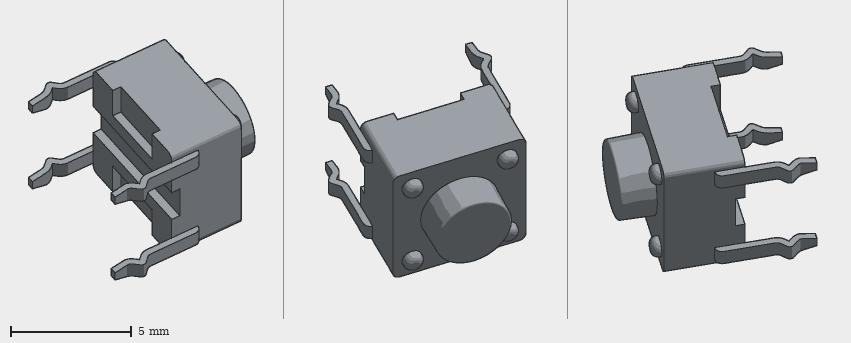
import cadquery as cq
import math


body_width = 6.0
body_depth = 3.45
corner_radius = 0.32
recess_depth = 0.4
channel_height = 1.58
pocket_width = 3.0
pocket_height = 1.5

button_base_radius = 1.75
button_top_radius = 1.71
button_height = 1.55
button_round = 0.1

peg_radius = 0.45
peg_height = 0.4
peg_round = 0.3
peg_offset = 2.14

leg_thickness = 0.3
leg_width = 0.72
leg_tip_width = 0.42
leg_offset = 2.25
leg_start = 1.3
leg_length = 3.0
taper_start = 2.3
kink_y = -1.8
kink_offset = 0.32
upper_angle = math.radians(45)
lower_angle = math.radians(42)
shoulder_radius = 0.32
bend_radius = 0.32
kink_outer_radius = 0.2

half_body = body_width / 2


def make_housing():
    """Rounded block with a cross channel and two edge pockets in its -Y face."""
    housing = (
        cq.Workplane("XY")
        .box(body_width, body_depth, body_width)
        .translate((0, body_depth / 2, 0))
        .edges("|Y")
        .fillet(corner_radius)
    )
    channel = cq.Workplane("XY").box(body_width, recess_depth, channel_height)
    housing = housing.cut(channel.translate((0, recess_depth / 2, 0)))
    pocket = cq.Workplane("XY").box(pocket_width, recess_depth, pocket_height)
    for side in (-1, 1):
        pocket_z = side * (half_body - pocket_height / 2)
        housing = housing.cut(pocket.translate((0, recess_depth / 2, pocket_z)))
    return housing


def make_button():
    """Slightly tapered round button with a rounded rim, on the +Y face."""
    return (
        cq.Workplane("XY", origin=(0, body_depth, 0))
        .lineTo(button_base_radius, 0)
        .lineTo(button_top_radius, button_height)
        .lineTo(0, button_height)
        .close()
        .revolve(360, (0, 0, 0), (0, 1, 0))
        .faces(">Y")
        .edges()
        .fillet(button_round)
    )


def make_peg(x, z):
    """Round-headed corner peg on the +Y face."""
    return (
        cq.Workplane("XZ", origin=(x, body_depth, z))
        .circle(peg_radius)
        .extrude(-peg_height)
        .faces(">Y")
        .edges()
        .fillet(peg_round)
    )


def make_leg():
    """Bent strip terminal in the +X, +Z quadrant, with a tapered end."""
    inner_x = half_body
    outer_x = half_body + leg_thickness
    kink_x = inner_x + kink_offset

    upper_inner_y = kink_y + kink_offset / math.tan(upper_angle)
    lower_inner_y = kink_y - kink_offset / math.tan(lower_angle)
    upper_outer_y = upper_inner_y + leg_thickness * math.tan(upper_angle / 2)
    lower_outer_y = lower_inner_y - leg_thickness * math.tan(lower_angle / 2)
    mitre_length = leg_thickness / math.cos((upper_angle + lower_angle) / 2)
    mitre_tilt = (upper_angle - lower_angle) / 2

    shoulder = (outer_x, leg_start)
    upper_outer = (outer_x, upper_outer_y)
    kink_outer = (
        kink_x + mitre_length * math.cos(mitre_tilt),
        kink_y + mitre_length * math.sin(mitre_tilt),
    )
    lower_outer = (outer_x, lower_outer_y)
    lower_inner = (inner_x, lower_inner_y)
    upper_inner = (inner_x, upper_inner_y)

    outline = [
        (inner_x - leg_thickness, leg_start),
        shoulder,
        upper_outer,
        kink_outer,
        lower_outer,
        (outer_x, -leg_length),
        (inner_x, -leg_length),
        lower_inner,
        (kink_x, kink_y),
        upper_inner,
        (inner_x, leg_start - leg_thickness),
        (inner_x - leg_thickness, leg_start - leg_thickness),
    ]
    leg = cq.Workplane("XY").polyline(outline).close().extrude(leg_width / 2, both=True)

    rounds = [
        (shoulder, shoulder_radius),
        (upper_outer, bend_radius),
        (upper_inner, bend_radius + leg_thickness),
        (kink_outer, kink_outer_radius),
        (lower_outer, bend_radius),
        (lower_inner, bend_radius + leg_thickness),
    ]
    for (x, y), radius in rounds:
        corner = cq.NearestToPointSelector((x, y, 0))
        leg = leg.edges("|Z").edges(corner).fillet(radius)

    for side in (-1, 1):
        wedge = (
            cq.Workplane("YZ")
            .moveTo(-taper_start, side * leg_width / 2)
            .lineTo(-leg_length, side * leg_width / 2)
            .lineTo(-leg_length, side * leg_tip_width / 2)
            .close()
            .extrude(body_width)
        )
        leg = leg.cut(wedge)
    return leg.translate((0, 0, leg_offset))


result = make_housing().union(make_button())

for x_side in (-1, 1):
    for z_side in (-1, 1):
        result = result.union(make_peg(x_side * peg_offset, z_side * peg_offset))

leg = make_leg()
leg_pair = leg.union(leg.mirror("YZ"))
result = result.union(leg_pair).union(leg_pair.mirror("XY"))